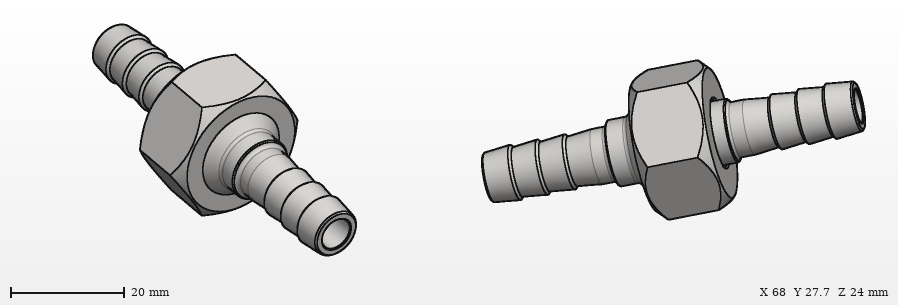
import cadquery as cq
import math


END_X = 34.0
BORE_R = 6.0 / 2
BORE_CHAMFER = 0.2
BARB_CREST_R = 10.0 / 2
BARB_ROOT_R = 9.0 / 2
BARB_PITCH = 5.0
BARB_COUNT = 3
TIP_CHAMFER = 0.3
NECK_X = END_X - (BARB_COUNT + 1) * BARB_PITCH

COLLAR_X = 11.0
COLLAR_CHAMFER = 0.25
TAIL_COLLAR_R = 11.5 / 2
SPIGOT_COLLAR_R = 12.0 / 2

NUT_LEFT_X = -8.5
NUT_RIGHT_X = 5.0
NUT_ACROSS_FLATS = 24.0
NUT_CHAMFER_R = 23.4 / 2
NUT_HOLE_R = 12.3 / 2
NUT_HOLE_CHAMFER = 0.3
NUT_RELIEF_R = 14.95 / 2

SEAT_X = -6.0
JOINT_X = -3.0
FLANGE_R = 14.5 / 2
THREAD_R = 16.6 / 2
CONE_ANGLE = math.radians(45)
CONE_FILLET_R = 1.0


def start_barbed_end(side):
    """Outline from the bore over the barbs to the neck; side is -1 for the left end, +1 for the right."""
    outline = (
        cq.Workplane("XY")
        .moveTo(side * (END_X - BORE_CHAMFER), BORE_R)
        .lineTo(side * END_X, BORE_R + BORE_CHAMFER)
        .lineTo(side * END_X, BARB_ROOT_R - TIP_CHAMFER)
        .lineTo(side * (END_X - TIP_CHAMFER), BARB_ROOT_R)
    )
    barb_step = BARB_CREST_R - BARB_ROOT_R
    for barb in range(1, BARB_COUNT + 1):
        crest_x = END_X - barb * BARB_PITCH
        outline = (
            outline
            .lineTo(side * crest_x, BARB_CREST_R)
            .lineTo(side * (crest_x - barb_step), BARB_ROOT_R)
        )
    return outline.lineTo(side * NECK_X, BARB_CREST_R)


def add_collar_step(outline, side, collar_r):
    """Continue along the neck, up a fillet to the collar face and over its chamfer."""
    fillet_r = collar_r - COLLAR_CHAMFER - BARB_CREST_R
    arc_centre_x = COLLAR_X + fillet_r
    arc_centre_r = BARB_CREST_R + fillet_r
    arc_mid = fillet_r * math.sqrt(0.5)
    return (
        outline
        .lineTo(side * arc_centre_x, BARB_CREST_R)
        .threePointArc(
            (side * (arc_centre_x - arc_mid), arc_centre_r - arc_mid),
            (side * COLLAR_X, arc_centre_r),
        )
        .lineTo(side * (COLLAR_X - COLLAR_CHAMFER), collar_r)
    )


def revolve_about_x(outline):
    return outline.close().revolve(360, (0, 0, 0), (1, 0, 0))


def make_tail():
    """Left barbed tail with a flange held by the nut's conical seat."""
    cone_start_x = SEAT_X - (NUT_HOLE_R - TAIL_COLLAR_R)
    cone_end_x = cone_start_x + FLANGE_R - TAIL_COLLAR_R
    outline = add_collar_step(start_barbed_end(-1), -1, TAIL_COLLAR_R)
    outline = (
        outline
        .lineTo(cone_start_x, TAIL_COLLAR_R)
        .lineTo(cone_end_x, FLANGE_R)
        .lineTo(JOINT_X, FLANGE_R)
        .lineTo(JOINT_X, BORE_R)
    )
    return revolve_about_x(outline)


def make_spigot():
    """Right barbed spigot with a 45 degree cone up to its threaded end inside the nut."""
    cone_foot_x = NUT_RIGHT_X + (THREAD_R - SPIGOT_COLLAR_R) / math.tan(CONE_ANGLE)
    half_angle = CONE_ANGLE / 2
    tangent = CONE_FILLET_R * math.tan(half_angle)
    arc_start_x = cone_foot_x + tangent
    arc_centre_r = SPIGOT_COLLAR_R + CONE_FILLET_R
    outline = add_collar_step(start_barbed_end(1), 1, SPIGOT_COLLAR_R)
    outline = (
        outline
        .lineTo(arc_start_x, SPIGOT_COLLAR_R)
        .threePointArc(
            (
                arc_start_x - CONE_FILLET_R * math.sin(half_angle),
                arc_centre_r - CONE_FILLET_R * math.cos(half_angle),
            ),
            (
                arc_start_x - CONE_FILLET_R * math.sin(CONE_ANGLE),
                arc_centre_r - CONE_FILLET_R * math.cos(CONE_ANGLE),
            ),
        )
        .lineTo(NUT_RIGHT_X, THREAD_R)
        .lineTo(JOINT_X, THREAD_R)
        .lineTo(JOINT_X, BORE_R)
    )
    return revolve_about_x(outline)


def make_nut():
    """Hex nut with corners across Y, 45 degree end chamfers and a stepped bore."""
    corner_r = NUT_ACROSS_FLATS / math.sqrt(3)
    hexagon = (
        cq.Workplane("YZ", origin=(NUT_LEFT_X, 0, 0))
        .polygon(6, 2 * corner_r)
        .extrude(NUT_RIGHT_X - NUT_LEFT_X)
    )
    chamfer = corner_r - NUT_CHAMFER_R
    ring = revolve_about_x(
        cq.Workplane("XY")
        .moveTo(NUT_LEFT_X, NUT_HOLE_R + NUT_HOLE_CHAMFER)
        .lineTo(NUT_LEFT_X, NUT_CHAMFER_R)
        .lineTo(NUT_LEFT_X + chamfer, corner_r)
        .lineTo(NUT_RIGHT_X - chamfer, corner_r)
        .lineTo(NUT_RIGHT_X, NUT_CHAMFER_R)
        .lineTo(NUT_RIGHT_X, THREAD_R)
        .lineTo(JOINT_X, THREAD_R)
        .lineTo(JOINT_X, NUT_RELIEF_R)
        .lineTo(SEAT_X + NUT_RELIEF_R - NUT_HOLE_R, NUT_RELIEF_R)
        .lineTo(SEAT_X, NUT_HOLE_R)
        .lineTo(NUT_LEFT_X + NUT_HOLE_CHAMFER, NUT_HOLE_R)
    )
    return hexagon.intersect(ring)


tail = make_tail()
spigot = make_spigot()
nut = make_nut()

result = cq.Compound.makeCompound([tail.val(), spigot.val(), *nut.solids().vals()])